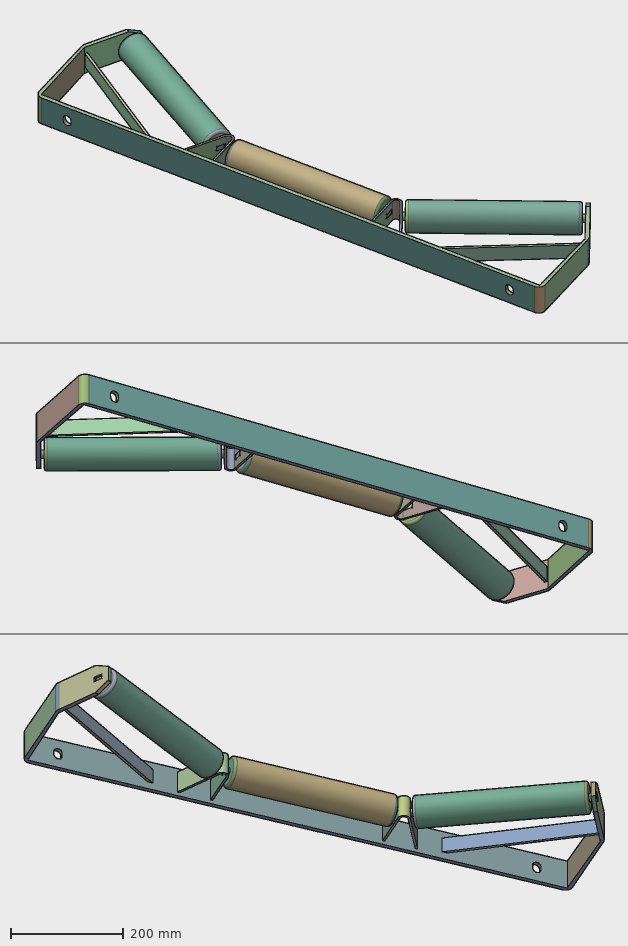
import cadquery as cq
import math

frame_width = 1050.0
frame_depth = 267.0
strap_height = 60.0
strap_thickness = 8.0
corner_radius = 14.0
wing_bend_radius = 18.0
trough_angle = 30.0
wing_bend_y = 166.0

tip_height = 30.0
tip_taper_length = 28.0
bolt_slot_width = 16.0
bolt_slot_height = 22.0
bolt_slot_x = 459.0

roller_diameter = 60.0
roller_length = 315.0
roller_edge_radius = 5.0
axle_diameter = 16.0
axle_flat = 9.0
middle_roller_y = 70.0
side_roller_x = 331.0
side_roller_y = 160.0
axle_slot_length = 18.0

bracket_thickness = 4.0
bracket_height = 44.0
bracket_bend_radius = 12.0
bracket_top_y = 93.0
bracket_gap = 5.0
brace_thickness = 5.0
brace_height = 30.0
brace_foot_x = 276.0

tilt = math.radians(trough_angle)
half_width = frame_width / 2
wing_length = (frame_depth - wing_bend_y) / math.cos(tilt)
axle_shoulder_length = roller_length + 2 * bracket_gap
axle_length = axle_shoulder_length + 2 * bracket_thickness


def mirrored(part):
    """The part together with its copy on the other side of the YZ plane."""
    return part.union(part.mirror("YZ"))


def slab(outline, height):
    """Closed XY outline extruded evenly above and below Z = 0."""
    return outline.close().extrude(height / 2, both=True)


def plate_between(start, end, thickness, height):
    """Flat plate on edge whose centre line joins two XY points."""
    run_x = end[0] - start[0]
    run_y = end[1] - start[1]
    plate = cq.Workplane("XY").box(math.hypot(run_x, run_y), thickness, height)
    plate = plate.rotate((0, 0, 0), (0, 0, 1), math.degrees(math.atan2(run_y, run_x)))
    return plate.translate(((start[0] + end[0]) / 2, (start[1] + end[1]) / 2, 0))


def wing_point(along, inward):
    """XY point measured along the left wing's outer face and inward from it."""
    return (
        -half_width + along * math.sin(tilt) + inward * math.cos(tilt),
        wing_bend_y + along * math.cos(tilt) - inward * math.sin(tilt),
    )


def round_corner(body, point, radius):
    """Fillet the upright edge that stands at an XY point."""
    return body.edges(cq.selectors.NearestToPointSelector((*point, 0))).fillet(radius)


def make_strap():
    """Bent flat bar: base, two uprights and two wings leaning inward."""
    inner_x = half_width - strap_thickness
    inner_bend = wing_point(-strap_thickness * math.tan(tilt / 2), strap_thickness)
    left_half = slab(
        cq.Workplane("XY").polyline([
            (0, 0),
            (-half_width, 0),
            (-half_width, wing_bend_y),
            wing_point(wing_length, 0),
            wing_point(wing_length, strap_thickness),
            inner_bend,
            (-inner_x, strap_thickness),
            (0, strap_thickness),
        ]),
        strap_height,
    )

    left_half = round_corner(left_half, (-half_width, 0), corner_radius)
    left_half = round_corner(left_half, (-half_width, wing_bend_y), wing_bend_radius)
    left_half = left_half.cut(make_tip_cutter())
    bolt_slot = (
        cq.Workplane("XZ").center(-bolt_slot_x, 0)
        .slot2D(bolt_slot_height, bolt_slot_width, 90)
        .extrude(-strap_thickness)
    )
    return mirrored(left_half.cut(bolt_slot))


def make_tip_cutter():
    """Wedges that taper the wing tip symmetrically in height."""
    face = cq.Plane(
        origin=(*wing_point(0, 0), 0),
        xDir=(math.sin(tilt), math.cos(tilt), 0),
        normal=(math.cos(tilt), -math.sin(tilt), 0),
    )
    wedge = (
        cq.Workplane(face)
        .moveTo(wing_length, tip_height / 2)
        .lineTo(wing_length, strap_height / 2)
        .lineTo(wing_length - tip_taper_length, strap_height / 2)
        .close()
        .extrude(strap_thickness)
    )
    return wedge.union(wedge.mirror("XY"))


def make_bracket():
    """Left inner bracket: upright leg, round top and leg leaning with the trough."""
    outer = bracket_bend_radius
    inner = outer - bracket_thickness
    upright_x = -(roller_length / 2 + bracket_gap)
    centre_x = upright_x - outer
    centre_y = bracket_top_y - outer

    def on_arc(radius, angle):
        return (centre_x + radius * math.cos(angle), centre_y + radius * math.sin(angle))

    def foot(radius):
        top_x, top_y = on_arc(radius, math.pi - tilt)
        return (top_x - (top_y - strap_thickness) * math.tan(tilt), strap_thickness)

    return slab(
        cq.Workplane("XY")
        .moveTo(upright_x, strap_thickness)
        .lineTo(*on_arc(outer, 0))
        .threePointArc(on_arc(outer, math.pi / 2), on_arc(outer, math.pi - tilt))
        .lineTo(*foot(outer))
        .lineTo(*foot(inner))
        .lineTo(*on_arc(inner, math.pi - tilt))
        .threePointArc(on_arc(inner, math.pi / 2), on_arc(inner, 0))
        .lineTo(upright_x - bracket_thickness, strap_thickness),
        bracket_height,
    )


def make_brace():
    """Left brace from the strap bend down to the base of the strap."""
    return plate_between(
        (-half_width + strap_thickness / 2, wing_bend_y),
        (-brace_foot_x, strap_thickness / 2),
        brace_thickness,
        brace_height,
    )


def rod(diameter, length):
    """Cylinder along X, centred on the origin."""
    return cq.Workplane("YZ", origin=(-length / 2, 0, 0)).circle(diameter / 2).extrude(length)


def make_roller():
    """Roller along X on a round axle whose ends are flattened above and below."""
    shell = rod(roller_diameter, roller_length).faces("<X or >X").edges().fillet(roller_edge_radius)
    shoulder = rod(axle_diameter, axle_shoulder_length)
    flats = cq.Workplane("XY").box(axle_length, axle_diameter, axle_flat)
    tongue = rod(axle_diameter, axle_length).intersect(flats)
    return shell.union(shoulder).union(tongue)


def make_axle_slot_cutter():
    """Bar along X that opens the slots for both ends of one axle."""
    bar = cq.Workplane("XY").box(axle_length + 2 * strap_thickness, axle_slot_length, axle_flat)
    return bar.translate((0, (axle_slot_length - axle_diameter) / 2, 0))


def place_roller_part(part, x, y, angle):
    return part.rotate((0, 0, 0), (0, 0, 1), angle).translate((x, y, 0))


roller_places = [
    (-side_roller_x, side_roller_y, -trough_angle),
    (0, middle_roller_y, 0),
    (side_roller_x, side_roller_y, trough_angle),
]

frame = make_strap().union(mirrored(make_bracket())).union(mirrored(make_brace()))
rollers = []
for place in roller_places:
    frame = frame.cut(place_roller_part(make_axle_slot_cutter(), *place))
    rollers.append(place_roller_part(make_roller(), *place))

result = cq.Compound.makeCompound([frame.val(), *[roller.val() for roller in rollers]])